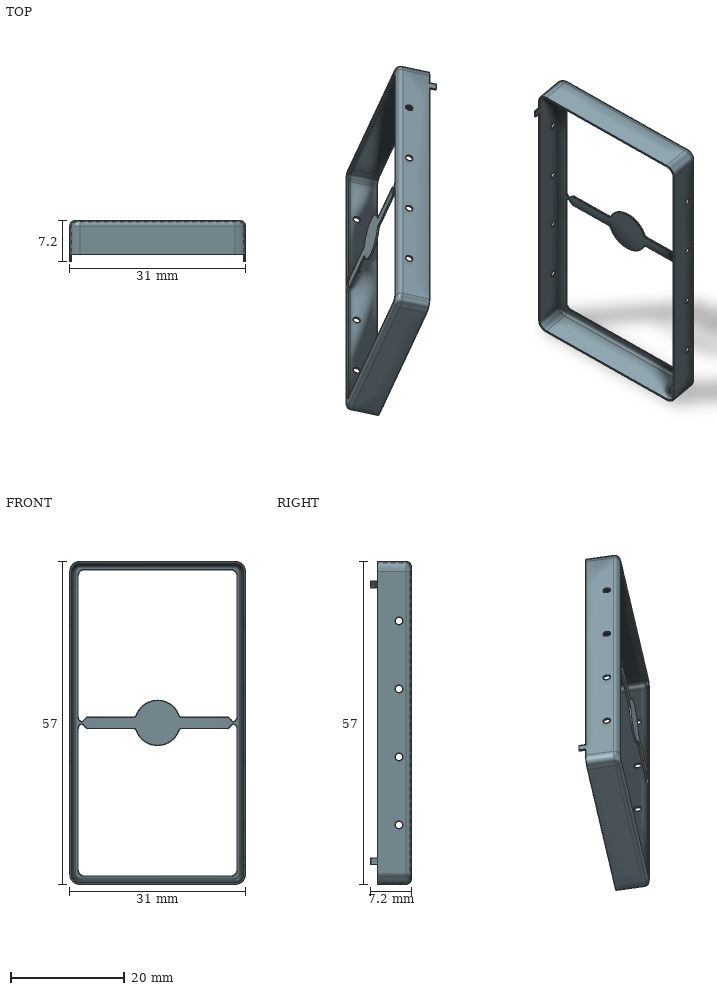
import cadquery as cq
import math

width = 31.0
height = 57.0
total_depth = 7.2
tab_length = 1.2
frame_depth = total_depth - tab_length
wall = 0.3
corner_radius = 1.8
floor_edge_radius = 1.0

rim = 1.5
window_corner_radius = 1.0
window_half_width = width / 2 - rim
window_height = height - 2 * rim

disc_diameter = 8.0
disc_fillet_radius = 0.5
strap_half_height = 1.0
strap_half_length = 12.5
neck_half_height = 0.2
neck_flare_radius = 0.8
neck_x = strap_half_length + strap_half_height - neck_half_height

hole_diameter = 1.3
hole_pitch = 12.0
hole_count = 4
hole_from_floor = 2.2

tab_height = 1.2
tab_center_z = 24.4


def rounded_block(block_width, block_height, depth, radius):
    """Block with rounded upright corners, from the floor plane (y = 0) toward -Y."""
    block = cq.Workplane("XZ").rect(block_width, block_height).extrude(depth)
    return block.edges("|Y").fillet(radius)


def tray():
    outside = rounded_block(width, height, frame_depth, corner_radius)
    outside = outside.faces(">Y").edges().fillet(floor_edge_radius)
    inside = rounded_block(width - 2 * wall, height - 2 * wall, frame_depth, corner_radius - wall)
    inside = inside.faces(">Y").edges().fillet(floor_edge_radius - wall)
    return outside.cut(inside.translate((0, -wall, 0)))


def edge_near(point, reach):
    """Selector for edges whose center lies within reach of the point along every axis."""
    low = [value - reach for value in point]
    high = [value + reach for value in point]
    return cq.selectors.BoxSelector(low, high)


def strap():
    """Strap and disc, in the thickness of the floor."""
    body = cq.Workplane("XZ").rect(2 * strap_half_length, 2 * strap_half_height).extrude(wall)
    body = body.union(cq.Workplane("XZ").circle(disc_diameter / 2).extrude(wall))
    joint_x = math.sqrt((disc_diameter / 2) ** 2 - strap_half_height ** 2)
    joint_reach = disc_fillet_radius / 2
    for side in (-1, 1):
        for end in (-1, 1):
            joint = (side * joint_x, -wall / 2, end * strap_half_height)
            body = body.edges(edge_near(joint, joint_reach)).fillet(disc_fillet_radius)
        body = body.union(strap_end(side))
    return body


def strap_end(side):
    """Taper down to the neck, then a rounded flare into the window edge."""
    center_x = window_half_width - neck_flare_radius
    flare_rise = math.sqrt(neck_flare_radius ** 2 - (neck_x - center_x) ** 2)
    flare_top = neck_half_height + flare_rise
    arc_mid_x = center_x + neck_flare_radius * math.cos(math.radians(45))
    arc_mid_z = flare_top - neck_flare_radius * math.sin(math.radians(45))
    root_x = window_half_width + wall / 2
    return (
        cq.Workplane("XZ")
        .moveTo(side * strap_half_length, strap_half_height)
        .lineTo(side * neck_x, neck_half_height)
        .threePointArc((side * arc_mid_x, arc_mid_z), (side * window_half_width, flare_top))
        .lineTo(side * root_x, flare_top)
        .lineTo(side * root_x, -flare_top)
        .lineTo(side * window_half_width, -flare_top)
        .threePointArc((side * arc_mid_x, -arc_mid_z), (side * neck_x, -neck_half_height))
        .lineTo(side * strap_half_length, -strap_half_height)
        .close()
        .extrude(wall)
    )


def side_holes():
    """Cylinders along X that pierce both side walls."""
    return (
        cq.Workplane("YZ")
        .center(-hole_from_floor, 0)
        .rarray(1, hole_pitch, 1, hole_count)
        .circle(hole_diameter / 2)
        .extrude(width, both=True)
    )


def tab(side):
    """Tab on one side wall: high on the -X wall, low on the +X wall."""
    length = tab_length + wall
    return cq.Workplane("XY").box(wall, length, tab_height).translate((
        side * (width - wall) / 2,
        length / 2 - total_depth,
        -side * tab_center_z,
    ))


window = rounded_block(2 * window_half_width, window_height, frame_depth, window_corner_radius)
result = tray().cut(window).union(strap()).cut(side_holes())
for wall_side in (-1, 1):
    result = result.union(tab(wall_side))